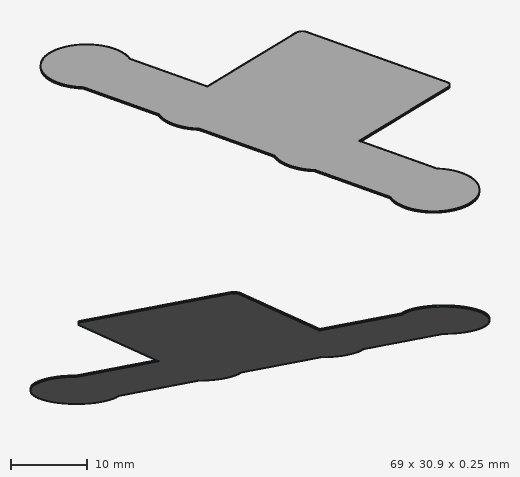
import cadquery as cq

length = 68.95
thickness = 0.25
lobe_radius = 6.0
bar_width = 10.0
tab_width = 24.95
tab_reach = 24.95
tab_corner_radius = 0.95

end_lobe_x = length / 2 - lobe_radius
inner_lobe_x = end_lobe_x / 3


def lobes(centre_x, radius):
    """A mirrored pair of discs on the bar centreline."""
    return (
        cq.Workplane("XY")
        .pushPoints([(-centre_x, 0), (centre_x, 0)])
        .circle(radius)
        .extrude(thickness)
    )


def lower_half(body):
    """The part of a body on the side of the bar away from the tab."""
    keep = cq.Workplane("XY").rect(length, length).extrude(thickness).translate((0, -length / 2, 0))
    return body.intersect(keep)


bar = cq.Workplane("XY").rect(2 * end_lobe_x, bar_width).extrude(thickness)

tab = (
    cq.Workplane("XY")
    .center(0, tab_reach / 2)
    .rect(tab_width, tab_reach)
    .extrude(thickness)
    .edges("|Z and >Y")
    .fillet(tab_corner_radius)
)

end_lobes = lobes(end_lobe_x, lobe_radius)
inner_lobes = lower_half(lobes(inner_lobe_x, lobe_radius))

result = bar.union(tab).union(end_lobes).union(inner_lobes).clean()